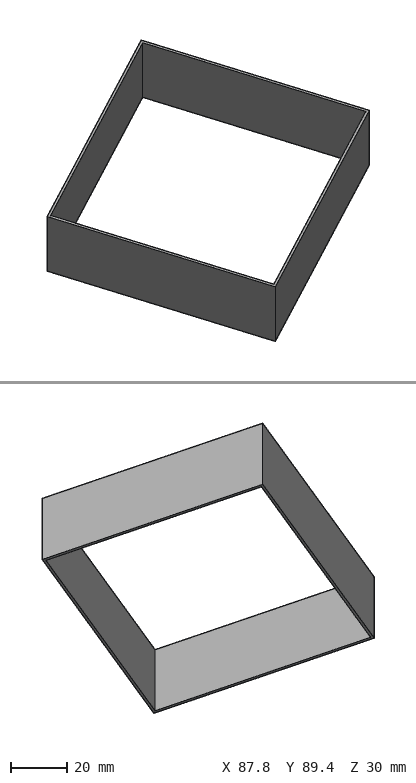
import cadquery as cq

LENGTH_X = 87.85
WIDTH_Y = 89.4
HEIGHT = 30.0

WALL = 1.0


def make_frame():
    """Thin-walled rectangular frame, open at top and bottom, standing on Z = 0."""
    return (
        cq.Workplane("XY")
        .rect(LENGTH_X, WIDTH_Y)
        .rect(LENGTH_X - 2 * WALL, WIDTH_Y - 2 * WALL)
        .extrude(HEIGHT)
    )


result = make_frame()